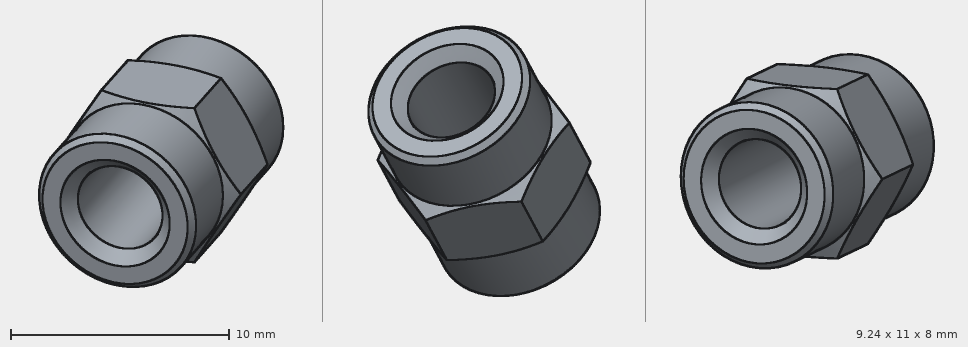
import cadquery as cq
import math

length = 11.0
across_flats = 8.0
hex_width = 4.0
body_diameter = 7.8
end_chamfer = 0.3
bore_diameter = 4.2
countersink_diameter = 5.42
countersink_angle = 90.0
hex_chamfer_angle = 30.0

across_corners = across_flats / math.cos(math.radians(30))
corner_radius = across_corners / 2
body_radius = body_diameter / 2
bore_radius = bore_diameter / 2
countersink_radius = countersink_diameter / 2


def make_body():
    """Round barrel with both outer rims chamfered."""
    barrel = cq.Workplane("XZ").circle(body_radius).extrude(length / 2, both=True)
    return barrel.faces("<Y or >Y").edges().chamfer(end_chamfer)


def make_hexagon():
    """Central hexagon with two corners on X, its corners cut back by a cone at each end."""
    prism = cq.Workplane("XZ").polygon(6, across_corners).extrude(hex_width / 2, both=True)
    half_width = hex_width / 2
    corner_drop = (corner_radius - body_radius) * math.tan(math.radians(hex_chamfer_angle))
    profile = [
        (0, -half_width),
        (body_radius, -half_width),
        (corner_radius, corner_drop - half_width),
        (corner_radius, half_width - corner_drop),
        (body_radius, half_width),
        (0, half_width),
    ]
    envelope = cq.Workplane("XY").polyline(profile).close().revolve(360, (0, 0), (0, 1))
    return prism.intersect(envelope)


def make_bore():
    """Through bore that widens in a countersink at each end."""
    half_length = length / 2
    half_angle = math.radians(countersink_angle / 2)
    countersink_depth = (countersink_radius - bore_radius) / math.tan(half_angle)
    profile = [
        (0, -half_length),
        (countersink_radius, -half_length),
        (bore_radius, countersink_depth - half_length),
        (bore_radius, half_length - countersink_depth),
        (countersink_radius, half_length),
        (0, half_length),
    ]
    return cq.Workplane("XY").polyline(profile).close().revolve(360, (0, 0), (0, 1))


result = make_body().union(make_hexagon()).cut(make_bore())